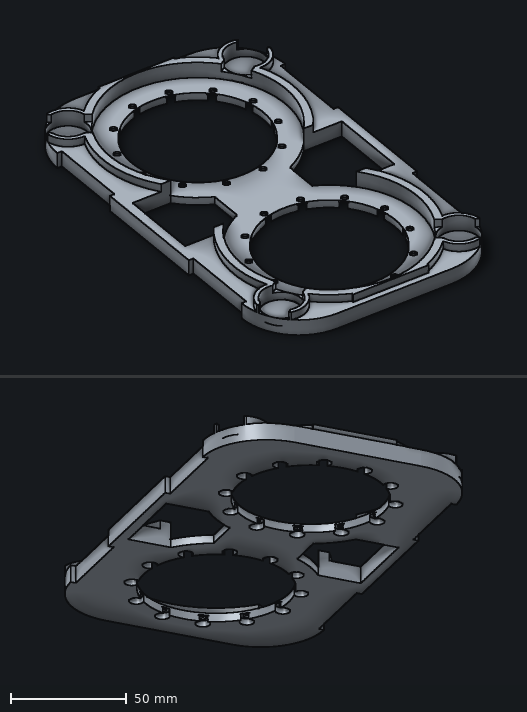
import cadquery as cq
import math

LENGTH = 200.0
WIDTH = 120.0
PLATE_HEIGHT = 8.0
TOTAL_HEIGHT = 12.0
CORNER_RADIUS = 30.0
EDGE_NOTCH_LENGTH = 40.0
EDGE_NOTCH_DEPTH = 2.5

SEAT_X = LENGTH / 4
SEAT_RADIUS = 46.0
SEAT_FLOOR = 4.0
RIM_RADIUS = 50.0
RIM_END_X = 96.8
BORE_RADIUS = 34.5
SCREW_COUNT = 12
SCREW_CIRCLE_RADIUS = 37.0
SCREW_DIAMETER = 3.2
HEAD_DIAMETER = 6.5
HEAD_DEPTH = 3.0

WINDOW_LENGTH = 40.0
WINDOW_OUTER_Y = 55.0
BRIDGE_WIDTH = 39.5

SOCKET_RADIUS = 10.0
SOCKET_WALL = 2.0
SOCKET_FLOOR = 4.0
SOCKET_GAP_WIDTH = 14.0

CORNER_X = LENGTH / 2 - CORNER_RADIUS
CORNER_Y = WIDTH / 2 - CORNER_RADIUS
SOCKET_ANGLE = math.atan2(CORNER_Y, CORNER_X - SEAT_X)
SOCKET_OFFSET = CORNER_RADIUS - SOCKET_RADIUS
SOCKET_X = CORNER_X + SOCKET_OFFSET * math.cos(SOCKET_ANGLE)
SOCKET_Y = CORNER_Y + SOCKET_OFFSET * math.sin(SOCKET_ANGLE)
SEAT_CENTERS = [(-SEAT_X, 0), (SEAT_X, 0)]
SIDES = [(sx, sy) for sx in (-1, 1) for sy in (-1, 1)]
SOCKET_CENTERS = [(sx * SOCKET_X, sy * SOCKET_Y) for sx, sy in SIDES]


def block(length, width, bottom, top):
    """Box centred on the Z axis between two heights."""
    base = cq.Workplane("XY").workplane(offset=bottom)
    return base.rect(length, width).extrude(top - bottom)


def discs(centers, radius, bottom, top):
    """Upright cylinders between two heights."""
    base = cq.Workplane("XY").workplane(offset=bottom)
    return base.pushPoints(centers).circle(radius).extrude(top - bottom)


def rounded_blank():
    """Plate outline with round corners, as tall as the whole part."""
    return block(LENGTH, WIDTH, 0, TOTAL_HEIGHT).edges("|Z").fillet(CORNER_RADIUS)


def raised_walls():
    """Seat rims and socket walls standing on the plate, before they are hollowed."""
    rim_reach = SEAT_X + SEAT_RADIUS
    right_rim = discs([(SEAT_X, 0)], RIM_RADIUS, PLATE_HEIGHT, TOTAL_HEIGHT)
    right_rim = right_rim.intersect(block(2 * rim_reach, WIDTH, PLATE_HEIGHT, TOTAL_HEIGHT))
    rims = right_rim.union(right_rim.mirror("YZ"))
    rims = rims.union(block(2 * RIM_END_X, BRIDGE_WIDTH, PLATE_HEIGHT, TOTAL_HEIGHT))
    sockets = discs(SOCKET_CENTERS, SOCKET_RADIUS + SOCKET_WALL, PLATE_HEIGHT, TOTAL_HEIGHT)
    return rims.union(sockets).intersect(rounded_blank())


def edge_notches():
    """Shallow steps in the long sides, starting where the round corners end."""
    centers = [(sx * (CORNER_X - EDGE_NOTCH_LENGTH / 2), sy * WIDTH / 2) for sx, sy in SIDES]
    cutters = cq.Workplane("XY").pushPoints(centers).rect(EDGE_NOTCH_LENGTH, 2 * EDGE_NOTCH_DEPTH)
    return cutters.extrude(PLATE_HEIGHT)


def seat_recess():
    """Space above the seat floors and above the bridge."""
    recess = discs(SEAT_CENTERS, SEAT_RADIUS, SEAT_FLOOR, TOTAL_HEIGHT)
    return recess.union(block(WINDOW_LENGTH, BRIDGE_WIDTH, SEAT_FLOOR, TOTAL_HEIGHT))


def windows():
    """Openings on both sides of the bridge, bounded by the seat discs."""
    opening = block(WINDOW_LENGTH, 2 * WINDOW_OUTER_Y, 0, TOTAL_HEIGHT)
    opening = opening.cut(block(WINDOW_LENGTH, BRIDGE_WIDTH, 0, TOTAL_HEIGHT))
    return opening.cut(discs(SEAT_CENTERS, SEAT_RADIUS, 0, SEAT_FLOOR))


def screw_holes(seat_x):
    """Through holes around one bore, counterbored from below so that they break into the bore."""
    pitch = 2 * math.pi / SCREW_COUNT
    angles = [(index + 0.5) * pitch for index in range(SCREW_COUNT)]
    centers = [
        (seat_x + SCREW_CIRCLE_RADIUS * math.cos(angle), SCREW_CIRCLE_RADIUS * math.sin(angle))
        for angle in angles
    ]
    holes = discs(centers, SCREW_DIAMETER / 2, 0, SEAT_FLOOR)
    return holes.union(discs(centers, HEAD_DIAMETER / 2, 0, HEAD_DEPTH))


def socket_gaps():
    """Cuts through the raised walls along the line from each seat to its sockets."""
    gap_length = 4 * SOCKET_RADIUS
    bar = block(gap_length, SOCKET_GAP_WIDTH, PLATE_HEIGHT, TOTAL_HEIGHT)
    bar = bar.rotate((0, 0, 0), (0, 0, 1), math.degrees(SOCKET_ANGLE))
    bar = bar.translate((SOCKET_X, SOCKET_Y, 0))
    upper_pair = bar.union(bar.mirror("YZ"))
    return upper_pair.union(upper_pair.mirror("XZ"))


plate = rounded_blank().intersect(block(LENGTH, WIDTH, 0, PLATE_HEIGHT))
result = plate.cut(edge_notches()).union(raised_walls())
result = result.cut(seat_recess()).cut(windows())
result = result.cut(discs(SEAT_CENTERS, BORE_RADIUS, 0, SEAT_FLOOR))
for center_x, _ in SEAT_CENTERS:
    result = result.cut(screw_holes(center_x))
result = result.cut(discs(SOCKET_CENTERS, SOCKET_RADIUS, SOCKET_FLOOR, TOTAL_HEIGHT))
result = result.cut(socket_gaps())